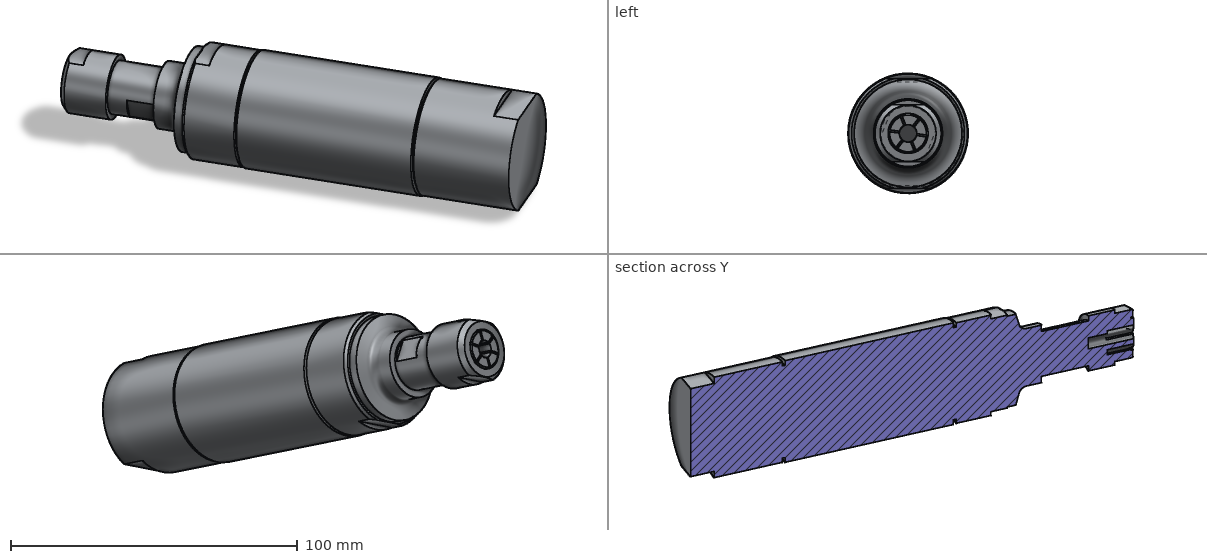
import cadquery as cq
import math

length = 168.5

tip_diameter = 19.5
collar_diameter = 23.0
neck_diameter = 19.0
shoulder_diameter = 24.0
flange_diameter = 37.5
body_diameter = 41.5
body_nose_diameter = 39.4
sleeve_diameter = 42.0
groove_diameter = 38.0

collar_start = 0.3
collar_end = 17.3
neck_end = 35.0
shoulder_end = 40.8
flange_start = 44.8
flange_end = 48.2
sleeve_start = 68.5
sleeve_end = 132.5
groove_width = 1.0

flare_radius = 2.9
flare_tilt = 15.0

collar_flats = 19.9
collar_flats_end = 7.2
neck_flats = 17.0
neck_flats_start = 24.5
neck_flats_end = 34.2
neck_flats_turn = 111.5
body_flats = 38.0
body_flats_end = 54.2
rear_flats = 36.0
rear_flats_length = 9.0

collet_face_diameter = 12.8
collet_bore_diameter = 14.0
collet_cone_length = 1.3
collet_hole_diameter = 6.0
collet_hole_depth = collar_end
collet_slot_count = 6
collet_slot_width = 0.7
collet_slot_depth = 10.1
collet_slot_turn = 8.0


def make_spindle():
    """Revolve the outer profile, with 45 degree chamfers on the collar and the body."""
    tip_chamfer = (collar_diameter - tip_diameter) / 2
    body_chamfer = (body_diameter - body_nose_diameter) / 2
    shoulder_radius = shoulder_diameter / 2
    flange_radius = flange_diameter / 2

    sweep = math.radians(90 - flare_tilt)

    def flare_point(angle):
        x = shoulder_end + flare_radius * math.sin(angle)
        radius = shoulder_radius + flare_radius * (1 - math.cos(angle))
        return (x, radius)

    return (
        cq.Workplane("XY")
        .moveTo(0, 0)
        .lineTo(0, collet_face_diameter / 2)
        .lineTo(collet_cone_length, collet_bore_diameter / 2)
        .lineTo(collar_start, collet_bore_diameter / 2)
        .lineTo(collar_start, tip_diameter / 2)
        .lineTo(collar_start + tip_chamfer, collar_diameter / 2)
        .lineTo(collar_end, collar_diameter / 2)
        .lineTo(collar_end, neck_diameter / 2)
        .lineTo(neck_end, neck_diameter / 2)
        .lineTo(neck_end, shoulder_radius)
        .lineTo(shoulder_end, shoulder_radius)
        .threePointArc(flare_point(sweep / 2), flare_point(sweep))
        .lineTo(flange_start, flange_radius)
        .lineTo(flange_end, flange_radius)
        .lineTo(flange_end, body_nose_diameter / 2)
        .lineTo(flange_end + body_chamfer, body_diameter / 2)
        .lineTo(sleeve_start - groove_width, body_diameter / 2)
        .lineTo(sleeve_start - groove_width, groove_diameter / 2)
        .lineTo(sleeve_start, groove_diameter / 2)
        .lineTo(sleeve_start, sleeve_diameter / 2)
        .lineTo(sleeve_end, sleeve_diameter / 2)
        .lineTo(sleeve_end, groove_diameter / 2)
        .lineTo(sleeve_end + groove_width, groove_diameter / 2)
        .lineTo(sleeve_end + groove_width, body_diameter / 2)
        .lineTo(length, body_diameter / 2)
        .lineTo(length, 0)
        .close()
        .revolve(360, (0, 0, 0), (1, 0, 0))
    )


def flat_cutters(start, end, across, turn=0.0):
    """Two blocks that leave opposite flats; they face +Z and -Z before the turn about X."""
    block_size = sleeve_diameter
    middle = (start + end) / 2
    offset = (across + block_size) / 2
    block = cq.Workplane("XY").box(end - start, block_size, block_size)
    upper = block.translate((middle, 0, offset))
    lower = block.translate((middle, 0, -offset))
    return upper.union(lower).rotate((0, 0, 0), (1, 0, 0), turn)


def collet_cutter():
    """Tool hole of the collet with its radial slots."""
    bore_radius = collet_bore_diameter / 2
    cutter = cq.Workplane("YZ").circle(collet_hole_diameter / 2).extrude(collet_hole_depth)
    for i in range(collet_slot_count):
        slot = (
            cq.Workplane("XY")
            .box(collet_slot_depth, bore_radius, collet_slot_width, centered=(False, False, True))
            .rotate((0, 0, 0), (1, 0, 0), collet_slot_turn + i * 360 / collet_slot_count)
        )
        cutter = cutter.union(slot)
    return cutter


result = (
    make_spindle()
    .cut(flat_cutters(collar_start, collar_flats_end, collar_flats))
    .cut(flat_cutters(neck_flats_start, neck_flats_end, neck_flats, neck_flats_turn))
    .cut(flat_cutters(flange_end, body_flats_end, body_flats))
    .cut(flat_cutters(length - rear_flats_length, length, rear_flats))
    .cut(collet_cutter())
)